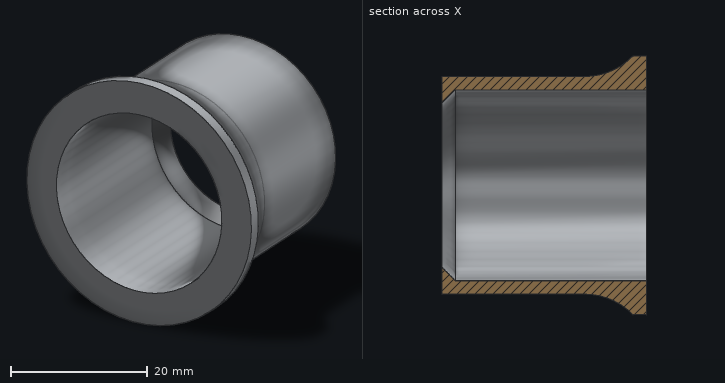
import cadquery as cq
import math

flange_radius = 19.0
flange_thickness = 2.0
body_radius = 16.0
length = 30.0

bore_radius = 14.0
mouth_radius = 12.0
cone_length = 1.98

flare_length = 7.05
flare_rise = flange_radius - body_radius
flare_radius = (flare_length**2 + flare_rise**2) / (2 * flare_rise)
flare_end = flange_thickness + flare_length

half_angle = math.asin(flare_length / flare_radius) / 2
flare_mid = (
    flare_end - flare_radius * math.sin(half_angle),
    body_radius + flare_radius * (1 - math.cos(half_angle)),
)

result = (
    cq.Workplane("YZ")
    .moveTo(0, bore_radius)
    .lineTo(0, flange_radius)
    .lineTo(flange_thickness, flange_radius)
    .threePointArc(flare_mid, (flare_end, body_radius))
    .lineTo(length, body_radius)
    .lineTo(length, mouth_radius)
    .lineTo(length - cone_length, bore_radius)
    .close()
    .revolve(360, (0, 0, 0), (1, 0, 0))
)